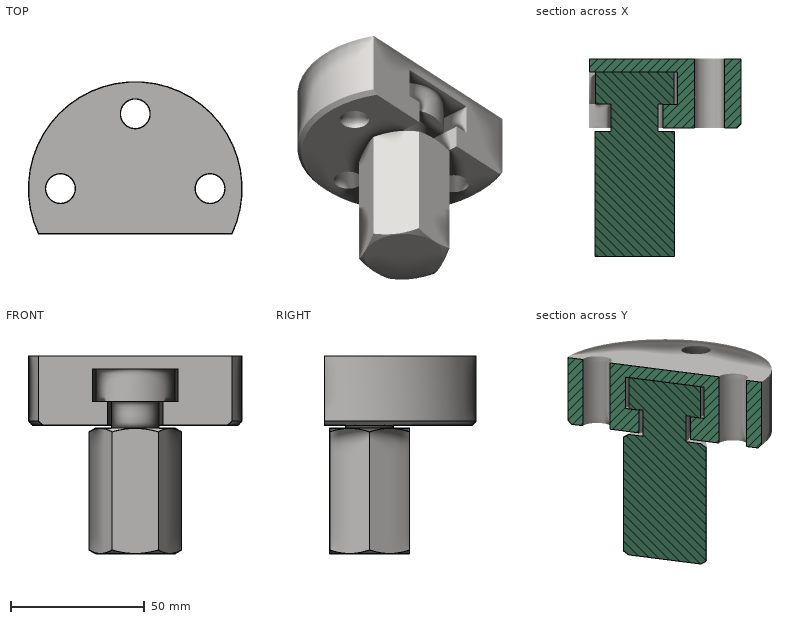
import cadquery as cq
import math

plate_radius = 40.0
plate_thickness = 26.0
plate_chamfer = 1.6
flat_distance = 17.0

hole_diameter = 11.0
hole_circle_radius = 28.0
hole_angles = (0, 90, 180)

slot_head_width = 32.0
slot_neck_width = 21.0
slot_top_depth = 5.0
slot_floor_depth = 17.0

head_diameter = 29.6
neck_diameter = 17.9
hex_across_flats = 30.0
hex_top_depth = 27.0
overall_height = 74.1
hex_length = overall_height - hex_top_depth
hex_corner_radius = hex_across_flats / math.sqrt(3)
hex_end_radius = 14.8
hex_chamfer_angle = 30.0
hex_chamfer_height = (hex_corner_radius - hex_end_radius) * math.tan(math.radians(hex_chamfer_angle))


def cylinder(diameter, bottom, top):
    """Cylinder on the Z axis between two levels."""
    return cq.Workplane("XY").workplane(offset=bottom).circle(diameter / 2).extrude(top - bottom)


def round_ended_slot(width, bottom, top):
    """Slot running from the disc axis out through the flat, with a round inner end."""
    straight = (
        cq.Workplane("XY")
        .workplane(offset=bottom)
        .rect(width, 2 * flat_distance)
        .extrude(top - bottom)
        .translate((0, -flat_distance, 0))
    )
    return straight.union(cylinder(width, bottom, top))


def make_plate():
    disc = cylinder(2 * plate_radius, -plate_thickness, 0).faces("<Z").edges().chamfer(plate_chamfer)
    flat_cutter = (
        cq.Workplane("XY")
        .rect(2 * plate_radius, 2 * plate_radius)
        .extrude(-plate_thickness)
        .translate((0, -flat_distance - plate_radius, 0))
    )
    plate = disc.cut(flat_cutter)

    for angle in hole_angles:
        x = hole_circle_radius * math.cos(math.radians(angle))
        y = hole_circle_radius * math.sin(math.radians(angle))
        plate = plate.cut(cylinder(hole_diameter, -plate_thickness, 0).translate((x, y, 0)))

    plate = plate.cut(round_ended_slot(slot_head_width, -slot_floor_depth, -slot_top_depth))
    return plate.cut(round_ended_slot(slot_neck_width, -plate_thickness, -slot_floor_depth))


def make_hex_body():
    """Hexagonal prism with corners on the X axis and both ends trimmed to cones."""
    prism = (
        cq.Workplane("XY")
        .workplane(offset=-overall_height)
        .polygon(6, 2 * hex_corner_radius)
        .extrude(hex_length)
    )
    cone_envelope = (
        cq.Workplane("XZ")
        .moveTo(0, -overall_height)
        .lineTo(hex_end_radius, -overall_height)
        .lineTo(hex_corner_radius, -overall_height + hex_chamfer_height)
        .lineTo(hex_corner_radius, -hex_top_depth - hex_chamfer_height)
        .lineTo(hex_end_radius, -hex_top_depth)
        .lineTo(0, -hex_top_depth)
        .close()
        .revolve(360, (0, 0, 0), (0, 1, 0))
    )
    return prism.intersect(cone_envelope)


def make_hanger():
    head = cylinder(head_diameter, -slot_floor_depth, -slot_top_depth)
    neck = cylinder(neck_diameter, -hex_top_depth, -slot_floor_depth)
    return make_hex_body().union(neck).union(head)


plate = make_plate()
hanger = make_hanger()

result = cq.Compound.makeCompound([plate.val(), hanger.val()])